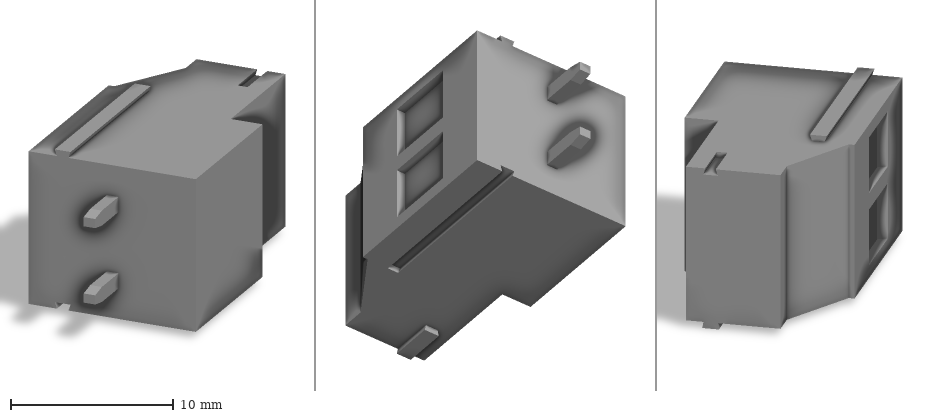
import cadquery as cq


total_length = 21.7
pin_length = 3.5
body_length = total_length - pin_length
body_width = 11.3
body_height = 10.13
mid_height = body_height / 2
head_left = 3.15
head_right = 9.15
step_y = 10.0
shelf_y = 12.02
shelf_width = 0.37
slope_end_y = 16.6

key_depth = 0.41
long_key_x = 2.3
long_key_neck = 0.78
long_key_wide = 1.06
short_key_x = 7.6
short_key_length = 2.95
short_rib_neck = 0.9
short_rib_wide = 1.06
short_groove_neck = 0.67
short_groove_wide = 0.93

pole_pitch = body_height / 2
pin_x = 5.69
pin_width = 0.78
pin_height = 1.0
pin_tip_height = 0.6
pin_taper_length = 1.0
window_pitch = 4.75
window_height = 3.67
window_start_y = 3.6
window_end_y = 8.45
window_depth = 0.6
window_slope = 0.33


def make_body():
    outline = [
        (0, 0),
        (body_width, 0),
        (body_width, step_y),
        (head_right, step_y),
        (head_right, body_length),
        (head_left, body_length),
        (head_left, slope_end_y),
        (shelf_width, shelf_y),
        (0, shelf_y),
    ]
    return cq.Workplane("XY").polyline(outline).close().extrude(body_height)


def dovetail(center_x, neck_z, wide_z, neck, wide, start_y, length):
    """Trapezoid bar along +Y, narrow at neck_z and broad at wide_z."""
    profile = [
        (center_x - neck / 2, neck_z),
        (center_x + neck / 2, neck_z),
        (center_x + wide / 2, wide_z),
        (center_x - wide / 2, wide_z),
    ]
    plane = cq.Workplane("XZ", origin=(0, start_y, 0))
    return plane.polyline(profile).close().extrude(-length)


def make_pin(center_z):
    taper_y = pin_taper_length - pin_length
    profile = [
        (0, center_z - pin_height / 2),
        (taper_y, center_z - pin_height / 2),
        (-pin_length, center_z - pin_tip_height / 2),
        (-pin_length, center_z + pin_tip_height / 2),
        (taper_y, center_z + pin_height / 2),
        (0, center_z + pin_height / 2),
    ]
    plane = cq.Workplane("YZ", origin=(pin_x - pin_width / 2, 0, 0))
    return plane.polyline(profile).close().extrude(pin_width)


def make_window(center_z):
    """Shallow pocket whose wall nearest the pins slopes inward."""
    profile = [
        (0, window_start_y),
        (window_depth, window_start_y + window_slope),
        (window_depth, window_end_y),
        (0, window_end_y),
    ]
    plane = cq.Workplane("XY", origin=(0, 0, center_z - window_height / 2))
    return plane.polyline(profile).close().extrude(window_height)


result = make_body()

long_key_size = (long_key_neck, long_key_wide, 0, shelf_y)
result = result.union(dovetail(long_key_x, body_height, body_height + key_depth, *long_key_size))
result = result.cut(dovetail(long_key_x, 0, key_depth, *long_key_size))

short_key_span = (body_length - short_key_length, short_key_length)
result = result.union(dovetail(short_key_x, 0, -key_depth, short_rib_neck, short_rib_wide, *short_key_span))
result = result.cut(
    dovetail(
        short_key_x,
        body_height,
        body_height - key_depth,
        short_groove_neck,
        short_groove_wide,
        *short_key_span,
    )
)

for side in (-1, 1):
    result = result.cut(make_window(mid_height + side * window_pitch / 2))
    result = result.union(make_pin(mid_height + side * pole_pitch / 2))